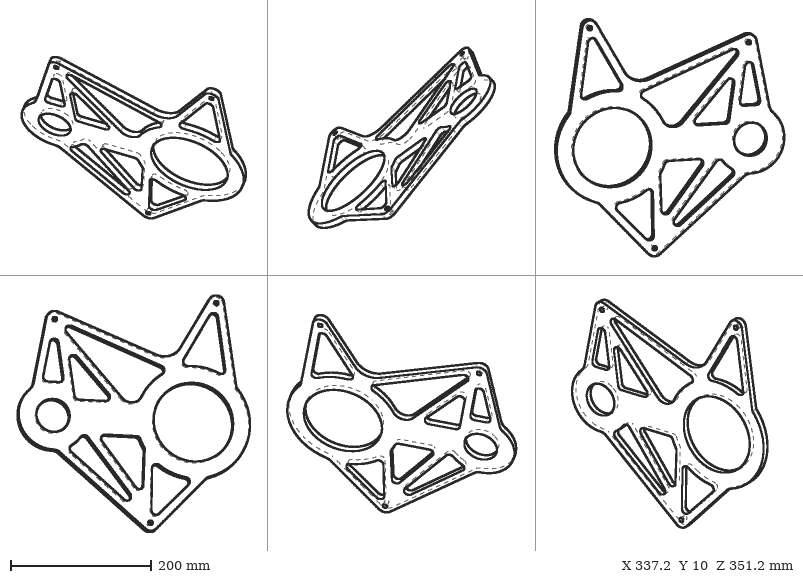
import cadquery as cq
import math

THICKNESS = 10.0

LARGE_CENTRE = (0, 0)
LARGE_BORE_RADIUS = 58.0
LARGE_RING_RADIUS = 82.5
SMALL_CENTRE = (-204.5, 0)
SMALL_BORE_RADIUS = 24.2
SMALL_RING_RADIUS = 50.2

LEFT_HOLE = (-202.0, 142.0)
RIGHT_HOLE = (33.5, 177.0)
BOTTOM_HOLE = (-62.5, -151)
LEFT_TIP_RADIUS = 12.0
RIGHT_TIP_RADIUS = 11.2
BOTTOM_TIP_RADIUS = 12.0
SCREW_HOLE_RADIUS = 3.0

VALLEY = (-31.0, 87.5)
LEFT_SIDE_END = (-234.3, 38.3)
RIGHT_SIDE_END = (63.5, 47.8)
BOTTOM_RIGHT_END = (24.5, -75.5)
BOTTOM_LEFT_END = (-205.5, -44.5)

VALLEY_FILLET = 29.5
LEFT_RING_FILLET = 17.5
RIGHT_RING_FILLET = 3.5
BOTTOM_RING_FILLET = 14
POCKET_FILLET = 6.3
WIDE_POCKET_FILLET = 17.5

UPPER_LEFT_POCKET = [(-201.5, 144.7), (-188.3, 49.5), (-220.3, 49.5)]
UPPER_INNER_POCKET = [(-183.7, 104.5), (-114.2, 25.0), (-172.5, 25.0)]
UPPER_WIDE_POCKET = [(-202.5, 143.0), (-25.0, 71.5), (-62.2, -17.2)]
UPPER_RIGHT_POCKET = [(33.5, 175.3), (51.3, 44.3), (-30.2, 63.2)]
LOWER_LEFT_POCKET = [(-54.8, -158.8), (-194.3, -38.5), (-171.0, -7)]
LOWER_MIDDLE_POCKET = [(-73.5, -114.2), (-70.3, -24.5), (-141.0, -24.5)]
LOWER_RIGHT_POCKET = [(-61.5, -149.0), (17.2, -67.0), (-59.7, -45.3)]


def back_face():
    return cq.Workplane("XZ", origin=(0, THICKNESS / 2, 0))


def disc(centre, radius):
    return back_face().center(*centre).circle(radius).extrude(THICKNESS)


def prism(corners):
    return back_face().polyline(corners).close().extrude(THICKNESS)


def tangent_point(point, centre, radius, side):
    """Point where a line from point touches a circle; side is +1 or -1."""
    dx = point[0] - centre[0]
    dz = point[1] - centre[1]
    angle = math.atan2(dz, dx) + side * math.acos(radius / math.hypot(dx, dz))
    return (centre[0] + radius * math.cos(angle), centre[1] + radius * math.sin(angle))


def arm(start, end, hole, tip_radius):
    """Tangent points of the two sides of an arm on its tip, in clockwise order."""
    return [tangent_point(start, hole, tip_radius, -1), tangent_point(end, hole, tip_radius, 1)]


def nearest_edge(x, z):
    return cq.selectors.NearestToPointSelector((x, 0, z))


def fillet_at(body, point, radius):
    """Round the edge through the plate that lies nearest to an XZ point."""
    return body.edges("|Y").edges(nearest_edge(*point)).fillet(radius)


def plate_blank():
    outline = [
        LEFT_SIDE_END,
        *arm(LEFT_SIDE_END, VALLEY, LEFT_HOLE, LEFT_TIP_RADIUS),
        VALLEY,
        *arm(VALLEY, RIGHT_SIDE_END, RIGHT_HOLE, RIGHT_TIP_RADIUS),
        RIGHT_SIDE_END,
        BOTTOM_RIGHT_END,
        *arm(BOTTOM_RIGHT_END, BOTTOM_LEFT_END, BOTTOM_HOLE, BOTTOM_TIP_RADIUS),
        BOTTOM_LEFT_END,
    ]
    blank = prism(outline)
    for centre, radius in [
        (LEFT_HOLE, LEFT_TIP_RADIUS),
        (RIGHT_HOLE, RIGHT_TIP_RADIUS),
        (BOTTOM_HOLE, BOTTOM_TIP_RADIUS),
        (LARGE_CENTRE, LARGE_RING_RADIUS),
        (SMALL_CENTRE, SMALL_RING_RADIUS),
    ]:
        blank = blank.union(disc(centre, radius))
    for point, radius in [
        (VALLEY, VALLEY_FILLET),
        (LEFT_SIDE_END, LEFT_RING_FILLET),
        (RIGHT_SIDE_END, RIGHT_RING_FILLET),
        (BOTTOM_RIGHT_END, BOTTOM_RING_FILLET),
        (BOTTOM_LEFT_END, BOTTOM_RING_FILLET),
    ]:
        blank = fillet_at(blank, point, radius)
    return blank


def round_pocket(corners):
    return prism(corners).edges("|Y").fillet(POCKET_FILLET)


def ring_pocket(corners, centre, ring_radius):
    return prism(corners).cut(disc(centre, ring_radius)).edges("|Y").fillet(POCKET_FILLET)


def wide_pocket():
    """Large upper pocket, with a wider fillet at its lowest corner."""
    pocket = prism(UPPER_WIDE_POCKET).cut(disc(LARGE_CENTRE, LARGE_RING_RADIUS))
    pocket = fillet_at(pocket, UPPER_WIDE_POCKET[2], WIDE_POCKET_FILLET)
    for corner in UPPER_WIDE_POCKET[:2]:
        pocket = fillet_at(pocket, corner, POCKET_FILLET)
    return pocket


cutters = [
    disc(LARGE_CENTRE, LARGE_BORE_RADIUS),
    disc(SMALL_CENTRE, SMALL_BORE_RADIUS),
    disc(LEFT_HOLE, SCREW_HOLE_RADIUS),
    disc(RIGHT_HOLE, SCREW_HOLE_RADIUS),
    disc(BOTTOM_HOLE, SCREW_HOLE_RADIUS),
    round_pocket(UPPER_LEFT_POCKET),
    round_pocket(UPPER_INNER_POCKET),
    wide_pocket(),
    ring_pocket(UPPER_RIGHT_POCKET, LARGE_CENTRE, LARGE_RING_RADIUS),
    ring_pocket(LOWER_LEFT_POCKET, SMALL_CENTRE, SMALL_RING_RADIUS),
    ring_pocket(LOWER_MIDDLE_POCKET, LARGE_CENTRE, LARGE_RING_RADIUS),
    ring_pocket(LOWER_RIGHT_POCKET, LARGE_CENTRE, LARGE_RING_RADIUS),
]

result = plate_blank()
for cutter in cutters:
    result = result.cut(cutter)